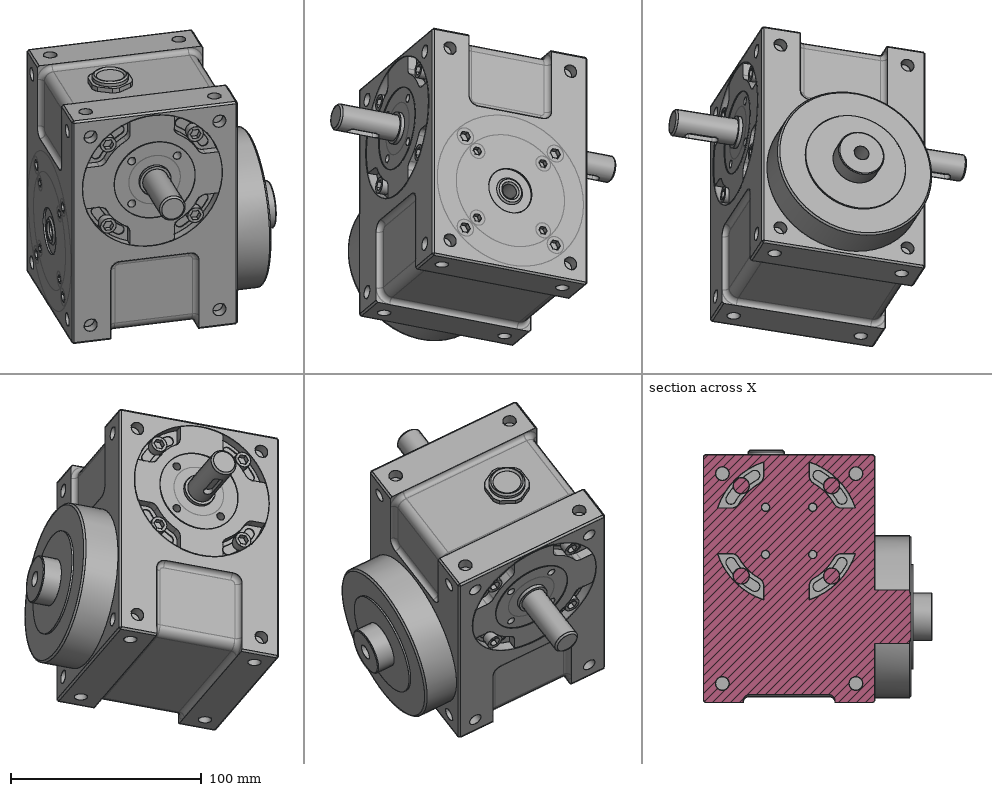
import cadquery as cq
import math


housing_width = 90.0
housing_height = 130.0
half_width = housing_width / 2
edge_chamfer = 1.0

recess_width = 48.0
recess_depth = 3.0
top_recess_reach = 40.0
bottom_recess_reach = 45.0
recess_corner_radius = 5.0
recess_floor_fillet = 2.9
core_edge_radius = 5.0
recess_clearance = 20.0

mount_hole_diameter = 7.0
mount_hole_depth = 6.0
mount_hole_inset = 10.0
mount_hole_offset = half_width - mount_hole_inset

output_height = 45.0
output_flange_diameter = 85.0
output_flange_length = 19.0
output_flange_chamfer = 1.0
output_step_diameter = 55.0
output_step_length = 1.0
output_hub_diameter = 25.0
output_hub_length = 10.0
output_hub_chamfer = 0.5
output_plate_diameter = 63.0
output_shaft_diameter = 15.0
output_shaft_chamfer = 1.0
output_hub_recess = 1.0
output_bore_diameter = 8.0
output_bore_chamfer = 1.0

input_height = 90.0
input_shaft_diameter = 14.0
input_shaft_reach = 80.0
input_shaft_chamfer = 1.0
input_collar_diameter = 17.0
input_collar_length = 1.0
keyway_width = 5.0
keyway_depth = 3.0
keyway_length = 18.0
keyway_middle = 64.0

cover_diameter = 76.0
cover_offset = -1.4
cover_recess = 0.5
cover_ring_diameter = 44.0
cover_ring_recess = 1.0
bearing_diameter = 28.0
cover_hole_diameter = 4.2
cover_hole_circle = 35.0
cover_hole_depth = 8.0
pocket_depth = 5.0
pocket_inner_radius = 28.75
pocket_side_offset = 12.0
pocket_corner_radius = 4.5
slot_circle_radius = 33.5
slot_width = 5.2
slot_depth = 0.5
slot_half_angle = 15.4

small_head_diameter = 8.5
small_socket_width = 4.0
large_head_diameter = 9.5
large_socket_width = 5.0
clamp_head_diameter = 8.5
clamp_socket_width = 5.0
clamp_head_recess = 0.5
socket_depth = 3.0
inner_screw_circle = 54.0
outer_screw_circle = 74.0

plug_position = -12.0
plug_hexagon_width = 22.0
plug_collar_diameter = 23.5
plug_collar_height = 2.6
plug_head_diameter = 19.0
plug_height = 5.4
plug_rim_height = 1.0
plug_rim_diameter = 17.0
plug_dish_diameter = 14.6

inlay_depth = 8.0

DIAGONALS = (45.0, 135.0, 225.0, 315.0)


def joined(body, tool):
    return body.union(tool, clean=False)


def without(body, tool):
    return body.cut(tool, clean=False)


def inlaid(body, tool):
    """Let a part into the body so that its outline stays visible on the flush face."""
    return joined(without(body, tool), tool)


def front_plane():
    """Front face, centred on the output shaft; local z points out of the housing."""
    return cq.Plane(origin=(0, -half_width, output_height), xDir=(1, 0, 0), normal=(0, -1, 0))


def side_plane(recess=0.0, offset_y=0.0):
    """Plane just behind the -X face, on the input axis; local x runs along -Y, local z points outward."""
    origin = (recess - half_width, offset_y, input_height)
    return cq.Plane(origin=origin, xDir=(0, -1, 0), normal=(-1, 0, 0))


def cover_plane():
    """Outer face of the input cover, centred on its offset rim."""
    return side_plane(cover_recess, cover_offset)


def mirrored_x(tool):
    """The tool together with its mirror image across the YZ plane."""
    return tool.add(tool.mirror("YZ"))


def polar_points(circle_diameter):
    radius = circle_diameter / 2
    return [
        (radius * math.cos(math.radians(a)), radius * math.sin(math.radians(a)))
        for a in DIAGONALS
    ]


def saddle_recess(reach):
    """Cutter for a recess over the top that reaches down the front and back faces."""
    outer_width = housing_width + 2 * recess_clearance
    cutter = (
        cq.Workplane("XY")
        .workplane(offset=housing_height - reach)
        .box(recess_width, outer_width, reach + recess_clearance, centered=(True, True, False))
        .edges("|Y and <Z")
        .fillet(recess_corner_radius)
    )
    core_width = housing_width - 2 * recess_depth
    core_top = housing_height - recess_depth
    core = (
        cq.Workplane("XY")
        .box(housing_width, core_width, core_top, centered=(True, True, False))
        .edges("|X and >Z")
        .fillet(core_edge_radius)
    )
    cutter = cutter.cut(core)
    margin = 0.1
    near_core = cq.selectors.BoxSelector(
        (-half_width, -core_width / 2 - margin, 0),
        (half_width, core_width / 2 + margin, core_top + margin),
        boundingbox=True,
    )
    return cutter.edges(near_core).edges("not(|X and <Z)").fillet(recess_floor_fillet)


def mount_holes(plane, points):
    return (
        cq.Workplane(plane)
        .pushPoints(points)
        .circle(mount_hole_diameter / 2)
        .extrude(-mount_hole_depth)
    )


def housing():
    body = (
        cq.Workplane("XY")
        .box(housing_width, housing_width, housing_height, centered=(True, True, False))
        .edges()
        .chamfer(edge_chamfer)
    )
    top_recess = saddle_recess(top_recess_reach)
    middle = (0, 0, housing_height / 2)
    bottom_recess = (
        saddle_recess(bottom_recess_reach)
        .rotate((0, 0, 0), (0, 0, 1), 90)
        .rotate(middle, (1, 0, housing_height / 2), 180)
    )
    body = body.cut(top_recess).cut(bottom_recess)

    square = [(x, y) for x in (-mount_hole_offset, mount_hole_offset)
              for y in (-mount_hole_offset, mount_hole_offset)]
    tall_offset = housing_height / 2 - mount_hole_inset
    tall = [(x, z) for x in (-mount_hole_offset, mount_hole_offset)
            for z in (-tall_offset, tall_offset)]
    faces = (
        ((0, 0, housing_height), (0, 0, 1), square),
        ((0, 0, 0), (0, 0, -1), square),
        ((0, -half_width, housing_height / 2), (0, -1, 0), tall),
        ((0, half_width, housing_height / 2), (0, 1, 0), tall),
    )
    for origin, normal, points in faces:
        body = body.cut(mount_holes(cq.Plane(origin=origin, xDir=(1, 0, 0), normal=normal), points))
    for side in (-1, 1):
        origin = (side * half_width, 0, housing_height / 2)
        plane = cq.Plane(origin=origin, xDir=(0, 1, 0), normal=(side, 0, 0))
        body = body.cut(mount_holes(plane, tall))
    return body


def output_flange():
    """Disc, raised step and hub on the +Y side."""
    plane = cq.Plane(origin=(0, half_width, output_height), xDir=(1, 0, 0), normal=(0, 1, 0))
    disc = (
        cq.Workplane(plane)
        .circle(output_flange_diameter / 2)
        .extrude(output_flange_length)
        .faces(">Y")
        .chamfer(output_flange_chamfer)
    )
    step_end = output_flange_length + output_step_length
    step = cq.Workplane(plane).circle(output_step_diameter / 2).extrude(step_end)
    hub = (
        cq.Workplane(plane)
        .circle(output_hub_diameter / 2)
        .extrude(step_end + output_hub_length)
        .faces(">Y")
        .chamfer(output_hub_chamfer)
    )
    return disc.union(step).union(hub)


def hexagon_sockets(plane, circle_diameter, socket_width):
    """Cutter for a ring of hexagon sockets on the diagonals of a plane."""
    corner_diameter = socket_width / math.cos(math.pi / 6)
    return (
        cq.Workplane(plane)
        .pushPoints(polar_points(circle_diameter))
        .polygon(6, corner_diameter)
        .extrude(-socket_depth)
    )


def with_flush_screws(body, circle_diameter, head_diameter, socket_width):
    """Add a ring of socket head screws that are flush with the front face."""
    heads = (
        cq.Workplane(front_plane())
        .pushPoints(polar_points(circle_diameter))
        .circle(head_diameter / 2)
        .extrude(-inlay_depth)
    )
    sockets = hexagon_sockets(front_plane(), circle_diameter, socket_width)
    return without(inlaid(body, heads), sockets)


def frustum(front_radius, back_radius, length):
    """Cone section on the output axis, running inward from the front face."""
    return (
        cq.Workplane(front_plane())
        .circle(front_radius)
        .workplane(offset=-length)
        .circle(back_radius)
        .loft()
    )


def with_output(body):
    body = joined(body, output_flange())
    for diameter in (output_flange_diameter, output_plate_diameter, output_hub_diameter):
        disc = cq.Workplane(front_plane()).circle(diameter / 2).extrude(-inlay_depth)
        body = inlaid(body, disc)
    body = with_flush_screws(body, outer_screw_circle, large_head_diameter, large_socket_width)
    body = with_flush_screws(body, inner_screw_circle, small_head_diameter, small_socket_width)

    total_length = housing_width + output_flange_length + output_step_length + output_hub_length
    bore_radius = output_bore_diameter / 2
    bore_mouth = bore_radius + output_bore_chamfer
    face = cq.Workplane(front_plane())
    bore = (
        face.circle(bore_radius)
        .extrude(-total_length)
        .union(frustum(bore_mouth, bore_radius, output_bore_chamfer))
    )
    shaft_radius = output_shaft_diameter / 2
    shaft_end = frustum(shaft_radius - output_shaft_chamfer, shaft_radius, output_shaft_chamfer)
    setback = face.circle(output_hub_diameter / 2).extrude(-output_hub_recess).cut(shaft_end)
    return without(without(body, bore), setback)


def input_shaft():
    """Shaft through both sides, with a collar and a keyway underneath at each end."""
    shaft = (
        cq.Workplane("YZ")
        .center(0, input_height)
        .circle(input_shaft_diameter / 2)
        .extrude(input_shaft_reach, both=True)
        .faces("<X or >X")
        .chamfer(input_shaft_chamfer)
    )
    keyway_floor = input_height - input_shaft_diameter / 2 + keyway_depth
    keyways = (
        cq.Workplane("XY")
        .workplane(offset=keyway_floor)
        .pushPoints([(-keyway_middle, 0), (keyway_middle, 0)])
        .slot2D(keyway_length, keyway_width)
        .extrude(-input_shaft_diameter)
    )
    collar = (
        cq.Workplane("YZ")
        .center(0, input_height)
        .circle(input_collar_diameter / 2)
        .extrude(half_width + input_collar_length, both=True)
    )
    return shaft.cut(keyways).union(collar)


def pocket_cutter():
    """Pocket in the upper -Y quarter of the cover, open to the cover rim."""
    plane = cover_plane()
    quarter_size = cover_diameter / 2 - pocket_side_offset
    quarter = (
        cq.Workplane(plane)
        .center(pocket_side_offset, pocket_side_offset)
        .rect(quarter_size, quarter_size, centered=False)
        .extrude(-pocket_depth)
    )
    inner = cq.Workplane(plane).circle(pocket_inner_radius).extrude(-pocket_depth)
    rim = cq.Workplane(plane).circle(cover_diameter / 2).extrude(-pocket_depth)
    corner = math.sqrt(pocket_inner_radius**2 - pocket_side_offset**2)
    corner_edges = [
        cq.selectors.NearestToPointSelector(
            (cover_recess - half_width + pocket_depth / 2, cover_offset - y, input_height + z)
        )
        for y, z in ((pocket_side_offset, corner), (corner, pocket_side_offset))
    ]
    pocket = quarter.cut(inner).intersect(rim)
    for selector in corner_edges:
        pocket = pocket.edges("|X").edges(selector).fillet(pocket_corner_radius)
    return pocket


def slot_cutter():
    """Arc slot in the floor of the upper -Y pocket."""
    middle_angle = DIAGONALS[0]
    inner = slot_circle_radius - slot_width / 2
    outer = slot_circle_radius + slot_width / 2

    def at(radius, degrees):
        angle = math.radians(middle_angle + degrees)
        return (radius * math.cos(angle), radius * math.sin(angle))

    end_bulge = slot_half_angle + math.degrees(slot_width / 2 / slot_circle_radius)
    return (
        cq.Workplane(cover_plane())
        .moveTo(*at(outer, -slot_half_angle))
        .threePointArc(at(outer, 0), at(outer, slot_half_angle))
        .threePointArc(at(slot_circle_radius, end_bulge), at(inner, slot_half_angle))
        .threePointArc(at(inner, 0), at(inner, -slot_half_angle))
        .threePointArc(at(slot_circle_radius, -end_bulge), at(outer, -slot_half_angle))
        .close()
        .extrude(-pocket_depth - slot_depth)
    )


def clamp_plane():
    """Plane of the clamp screw head faces, centred on the cover rim."""
    return side_plane(cover_recess + clamp_head_recess, cover_offset)


def clamp_head():
    """Screw head standing on the floor of the upper -Y slot."""
    height = pocket_depth + slot_depth - clamp_head_recess
    return (
        cq.Workplane(clamp_plane())
        .transformed(rotate=(0, 0, DIAGONALS[0]))
        .center(slot_circle_radius, 0)
        .circle(clamp_head_diameter / 2)
        .extrude(-height)
    )


def with_input(body):
    rim = cq.Workplane(side_plane(0, cover_offset)).circle(cover_diameter / 2).extrude(-cover_recess)
    ring = cq.Workplane(side_plane()).circle(cover_ring_diameter / 2).extrude(-cover_ring_recess)
    bearing = (
        cq.Workplane(side_plane(cover_ring_recess))
        .circle(bearing_diameter / 2)
        .extrude(-inlay_depth)
    )
    body = without(body, mirrored_x(rim))
    body = without(body, mirrored_x(ring))
    body = inlaid(body, mirrored_x(bearing))

    pocket = pocket_cutter().union(slot_cutter()).cut(clamp_head())
    axis_start = (0, cover_offset, input_height)
    axis_end = (1, cover_offset, input_height)
    for turn in range(len(DIAGONALS)):
        turned = pocket.rotate(axis_start, axis_end, turn * 90)
        body = without(body, mirrored_x(turned))
    sockets = hexagon_sockets(clamp_plane(), 2 * slot_circle_radius, clamp_socket_width)
    body = without(body, mirrored_x(sockets))

    holes = (
        cq.Workplane(side_plane(cover_ring_recess))
        .pushPoints(polar_points(cover_hole_circle))
        .circle(cover_hole_diameter / 2)
        .extrude(-cover_hole_depth)
    )
    body = without(body, mirrored_x(holes))
    return joined(body, input_shaft())


def oil_plug():
    """Hexagonal collar with rounded corners and a dished round head."""
    seat = cq.Workplane("XY", origin=(0, plug_position, housing_height - recess_depth))
    corner_diameter = plug_hexagon_width / math.cos(math.pi / 6)
    collar = seat.polygon(6, corner_diameter).extrude(plug_collar_height)
    collar = collar.intersect(seat.circle(plug_collar_diameter / 2).extrude(plug_collar_height))
    shoulder = plug_height - plug_rim_height
    head = (
        cq.Workplane("XZ", origin=(0, plug_position, housing_height - recess_depth))
        .polyline([
            (0, 0),
            (plug_head_diameter / 2, 0),
            (plug_head_diameter / 2, shoulder),
            (plug_rim_diameter / 2, plug_height),
            (plug_dish_diameter / 2, shoulder),
            (0, shoulder),
        ])
        .close()
        .revolve(360, (0, 0, 0), (0, 1, 0))
    )
    return collar.union(head)


gearbox = with_input(with_output(housing()))
result = joined(gearbox, oil_plug())